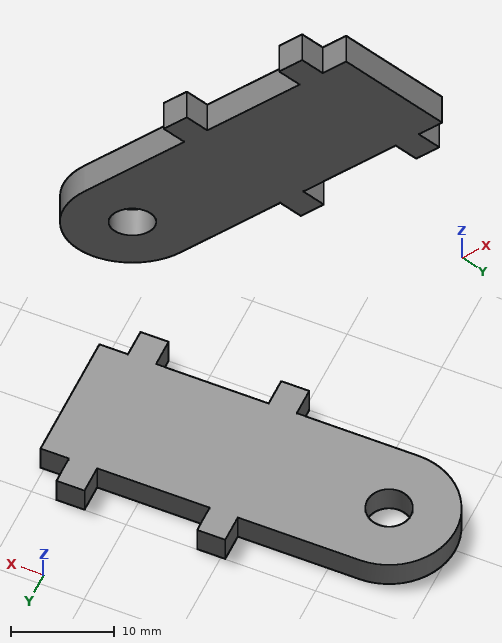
import cadquery as cq

length = 40.7
body_width = 14.0
thickness = 3.0
hole_diameter = 4.6
tab_width = 2.97
overall_width = 20.0
end_margin = 3.0
tab_pitch = 14.85

end_radius = body_width / 2
square_end_x = length - end_radius
last_tab_x = square_end_x - end_margin - tab_width / 2


def make_body():
    """Flat plate with one full-round end and one square end."""
    return (
        cq.Workplane("XY")
        .moveTo(0, -end_radius)
        .lineTo(square_end_x, -end_radius)
        .lineTo(square_end_x, end_radius)
        .lineTo(0, end_radius)
        .threePointArc((-end_radius, 0), (0, -end_radius))
        .close()
        .extrude(thickness)
    )


def make_tab_bar(center_x):
    """Bar across the plate whose two ends stick out as side tabs."""
    return (
        cq.Workplane("XY")
        .center(center_x, 0)
        .rect(tab_width, overall_width)
        .extrude(thickness)
    )


plate = make_body()
for tab_x in (last_tab_x - tab_pitch, last_tab_x):
    plate = plate.union(make_tab_bar(tab_x))

hole = cq.Workplane("XY").circle(hole_diameter / 2).extrude(thickness)
result = plate.cut(hole).clean()